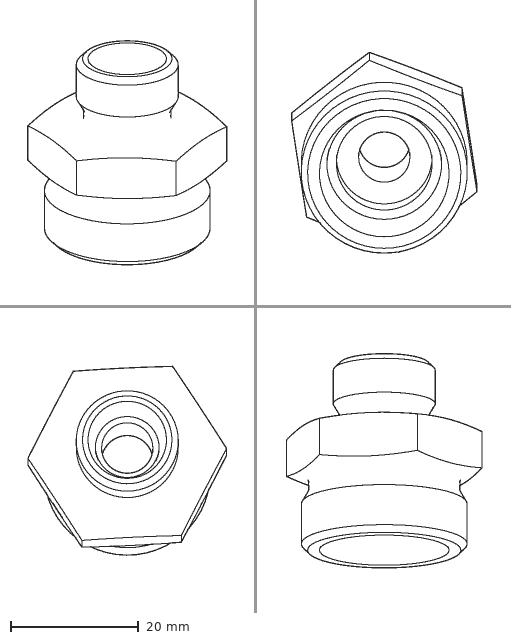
import cadquery as cq
import math

TOTAL_HEIGHT = 30.0
HEX_BOTTOM = 12.0
HEX_TOP = 19.0

HEX_ACROSS_CORNERS = 31.18
HEX_ACROSS_FLATS = HEX_ACROSS_CORNERS * math.cos(math.radians(30))
HEX_CHAMFER_ANGLE = 15.0

SMALL_END_DIAMETER = 16.0
SMALL_GROOVE_DIAMETER = 13.7
SMALL_UNDERCUT_LENGTH = 4.55
LARGE_END_DIAMETER = 26.0
LARGE_GROOVE_DIAMETER = 23.7
LARGE_UNDERCUT_LENGTH = 4.55
END_CHAMFER = 1.0
GROOVE_FILLET = 1.0
GROOVE_CONE_ANGLE = 30.0

SMALL_BORE_DIAMETER = 8.0
SMALL_TUBE_DIAMETER = 10.0
SMALL_MOUTH_DIAMETER = 12.3
SMALL_SOCKET_DEPTH = 6.98
LARGE_BORE_DIAMETER = 15.0
LARGE_BORE_DEPTH = 12.0
LARGE_TUBE_DIAMETER = 18.0
LARGE_MOUTH_DIAMETER = 20.3
LARGE_SOCKET_DEPTH = 7.5
SOCKET_HALF_ANGLE = 12.0


def cylinder(diameter, bottom, top):
    return cq.Workplane("XY").workplane(offset=bottom).circle(diameter / 2).extrude(top - bottom)


def threaded_end(diameter, groove_diameter, undercut_length, length):
    """End standing on Z = 0: filleted root, groove, tangent cone, thread body, end chamfer."""
    radius = diameter / 2
    groove_radius = groove_diameter / 2
    angle = math.radians(GROOVE_CONE_ANGLE)
    half_angle = angle / 2

    def blend_point(turn):
        return groove_radius + GROOVE_FILLET * (1 - math.cos(turn)), GROOVE_FILLET * math.sin(turn)

    blend_radius, blend_height = blend_point(angle)
    middle_radius, middle_height = blend_point(half_angle)
    cone_start = undercut_length - (radius - blend_radius) / math.tan(angle)
    groove_end = cone_start - blend_height
    root_offset = GROOVE_FILLET * (1 - math.sqrt(0.5))

    return (
        cq.Workplane("XZ")
        .lineTo(groove_radius + GROOVE_FILLET, 0)
        .threePointArc((groove_radius + root_offset, root_offset), (groove_radius, GROOVE_FILLET))
        .lineTo(groove_radius, groove_end)
        .threePointArc((middle_radius, groove_end + middle_height), (blend_radius, cone_start))
        .lineTo(radius, undercut_length)
        .lineTo(radius, length - END_CHAMFER)
        .lineTo(radius - END_CHAMFER, length)
        .lineTo(0, length)
        .close()
        .revolve(360, (0, 0, 0), (0, 1, 0))
    )


def tube_socket(mouth_diameter, tube_diameter, depth):
    """Cutter with its mouth at Z = 0, tapering upward into a straight tube seat."""
    mouth_radius = mouth_diameter / 2
    tube_radius = tube_diameter / 2
    taper_depth = (mouth_radius - tube_radius) / math.tan(math.radians(SOCKET_HALF_ANGLE))
    return (
        cq.Workplane("XZ")
        .lineTo(mouth_radius, 0)
        .lineTo(tube_radius, taper_depth)
        .lineTo(tube_radius, depth)
        .lineTo(0, depth)
        .close()
        .revolve(360, (0, 0, 0), (0, 1, 0))
    )


def chamfered_hexagon():
    """Hexagon whose corners are turned off by a shallow cone at both faces."""
    flat_radius = HEX_ACROSS_FLATS / 2
    corner_radius = HEX_ACROSS_CORNERS / 2
    corner_drop = (corner_radius - flat_radius) * math.tan(math.radians(HEX_CHAMFER_ANGLE))
    envelope = (
        cq.Workplane("XZ")
        .moveTo(0, HEX_BOTTOM)
        .lineTo(flat_radius, HEX_BOTTOM)
        .lineTo(corner_radius, HEX_BOTTOM + corner_drop)
        .lineTo(corner_radius, HEX_TOP - corner_drop)
        .lineTo(flat_radius, HEX_TOP)
        .lineTo(0, HEX_TOP)
        .close()
        .revolve(360, (0, 0, 0), (0, 1, 0))
    )
    prism = (
        cq.Workplane("XY")
        .workplane(offset=HEX_BOTTOM)
        .polygon(6, HEX_ACROSS_CORNERS)
        .extrude(HEX_TOP - HEX_BOTTOM)
        .rotate((0, 0, 0), (0, 0, 1), 90)
    )
    return prism.intersect(envelope)


def flipped(shape):
    """Turn a shape upside down about the X axis."""
    return shape.rotate((0, 0, 0), (1, 0, 0), 180)


small_end = threaded_end(
    SMALL_END_DIAMETER, SMALL_GROOVE_DIAMETER, SMALL_UNDERCUT_LENGTH, TOTAL_HEIGHT - HEX_TOP
).translate((0, 0, HEX_TOP))
large_end = flipped(
    threaded_end(LARGE_END_DIAMETER, LARGE_GROOVE_DIAMETER, LARGE_UNDERCUT_LENGTH, HEX_BOTTOM)
).translate((0, 0, HEX_BOTTOM))
body = chamfered_hexagon().union(small_end).union(large_end)

small_socket = flipped(
    tube_socket(SMALL_MOUTH_DIAMETER, SMALL_TUBE_DIAMETER, SMALL_SOCKET_DEPTH)
).translate((0, 0, TOTAL_HEIGHT))
large_socket = tube_socket(LARGE_MOUTH_DIAMETER, LARGE_TUBE_DIAMETER, LARGE_SOCKET_DEPTH)
through_bore = cylinder(SMALL_BORE_DIAMETER, 0, TOTAL_HEIGHT)
large_bore = cylinder(LARGE_BORE_DIAMETER, 0, LARGE_BORE_DEPTH)

result = body.cut(through_bore).cut(large_bore).cut(small_socket).cut(large_socket)